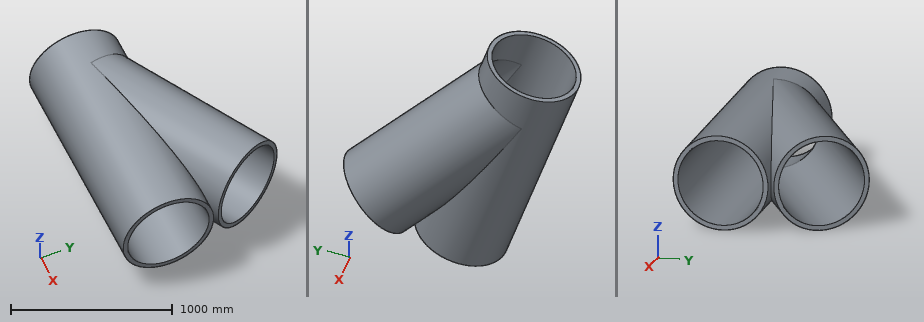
import cadquery as cq
import math

OUTER_DIAMETER = 609.6
BORE_DIAMETER = 547.67
RUN_LENGTH = 1460.5
INLET_LENGTH = 254.0
BRANCH_LENGTH = RUN_LENGTH - INLET_LENGTH
BRANCH_ANGLE = math.radians(30.0)


def run_cylinder(diameter):
    """Solid cylinder along the full length of the run."""
    inlet_center = cq.Vector(-INLET_LENGTH, 0, 0)
    run_direction = cq.Vector(1, 0, 0)
    cylinder = cq.Solid.makeCylinder(diameter / 2, RUN_LENGTH, inlet_center, run_direction)
    return cq.Workplane(cylinder)


def branch_cylinder(diameter):
    """Solid cylinder from the axis crossing to the branch end; its start face lies inside the run."""
    crossing = cq.Vector(0, 0, 0)
    branch_direction = cq.Vector(math.cos(BRANCH_ANGLE), math.sin(BRANCH_ANGLE), 0)
    cylinder = cq.Solid.makeCylinder(diameter / 2, BRANCH_LENGTH, crossing, branch_direction)
    return cq.Workplane(cylinder)


def lateral(diameter):
    """Run and branch of one diameter joined into a solid Y."""
    return run_cylinder(diameter).union(branch_cylinder(diameter))


result = lateral(OUTER_DIAMETER).cut(lateral(BORE_DIAMETER))